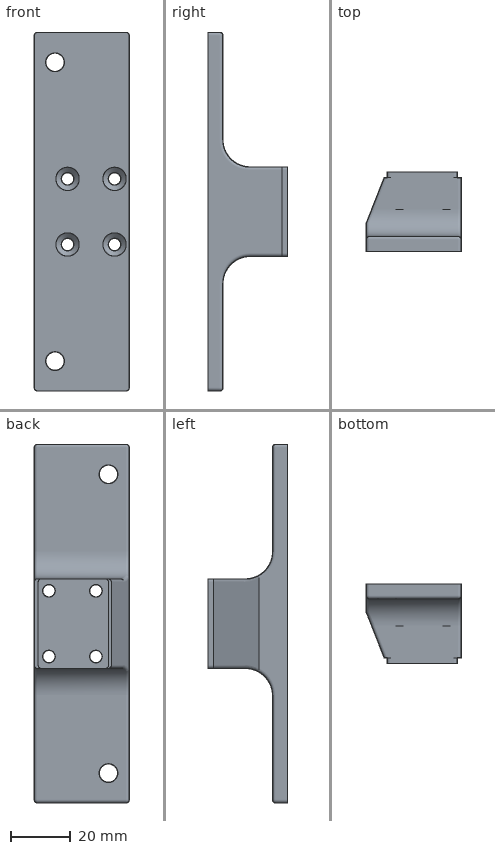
import cadquery as cq

width = 31.8
height = 120.0
plate_thickness = 5.0
edge_radius = 1.1

boss_height = 30.0
boss_depth = 24.7
root_radius = 9.0
slope_start_depth = 9.5
slope_inset = 6.0

total_depth = 26.6
tongue_left = 7.0
tongue_right = 30.5

mount_diameter = 6.1
mount_x = 7.0
mount_spacing = 100.0

screw_diameter = 4.1
head_diameter = 7.8
head_depth = 14.0
seat_depth = (head_diameter - screw_diameter) / 2
screw_xs = (11.2, 26.9)
screw_spacing = 22.0


def plate_with_boss():
    """Side profile with concave boss roots, cut by the slope and rounded behind the front face."""
    half_height = height / 2
    half_boss = boss_height / 2
    root_end = plate_thickness + root_radius
    profile = (
        cq.Workplane("YZ")
        .moveTo(0, -half_height)
        .lineTo(plate_thickness, -half_height)
        .lineTo(plate_thickness, -half_boss - root_radius)
        .radiusArc((root_end, -half_boss), root_radius)
        .lineTo(boss_depth, -half_boss)
        .lineTo(boss_depth, half_boss)
        .lineTo(root_end, half_boss)
        .radiusArc((plate_thickness, half_boss + root_radius), root_radius)
        .lineTo(plate_thickness, half_height)
        .lineTo(0, half_height)
        .close()
        .extrude(width)
    )
    plan = (
        cq.Workplane("XY", origin=(0, 0, -half_height))
        .polyline([
            (0, 0),
            (width, 0),
            (width, boss_depth),
            (slope_inset, boss_depth),
            (0, slope_start_depth),
        ])
        .close()
        .extrude(height)
    )
    body = profile.intersect(plan)
    rounded_edges = body.edges("not(<Y or >Y or |Z)")
    return rounded_edges.fillet(edge_radius)


def tongue():
    """Flat-backed tongue with rounded upper and lower ends, flush with the boss."""
    start_depth = boss_depth - edge_radius
    block = cq.Workplane("XY").box(
        tongue_right - tongue_left, total_depth - start_depth, boss_height, centered=(False, False, True)
    )
    block = block.edges("|Y").fillet(edge_radius)
    return block.translate((tongue_left, start_depth, 0))


def hole_plane():
    """Sketch plane on the front face, facing into the part, with Z up and X mirrored."""
    return cq.Workplane(cq.Plane(origin=(0, 0, 0), xDir=(-1, 0, 0), normal=(0, 1, 0)))


def mounting_holes():
    points = [(-mount_x, side * mount_spacing / 2) for side in (-1, 1)]
    return hole_plane().pushPoints(points).circle(mount_diameter / 2).extrude(plate_thickness)


def screw_holes():
    cutter = (
        cq.Workplane("XY")
        .polyline([
            (0, 0),
            (head_diameter / 2, 0),
            (head_diameter / 2, head_depth),
            (screw_diameter / 2, head_depth + seat_depth),
            (screw_diameter / 2, total_depth),
            (0, total_depth),
        ])
        .close()
        .revolve(360, (0, 0, 0), (0, 1, 0))
    )
    holes = cq.Workplane("XY")
    for x in screw_xs:
        for side in (-1, 1):
            holes = holes.add(cutter.translate((x, 0, side * screw_spacing / 2)))
    return holes.combine()


result = plate_with_boss().union(tongue()).cut(mounting_holes()).cut(screw_holes())